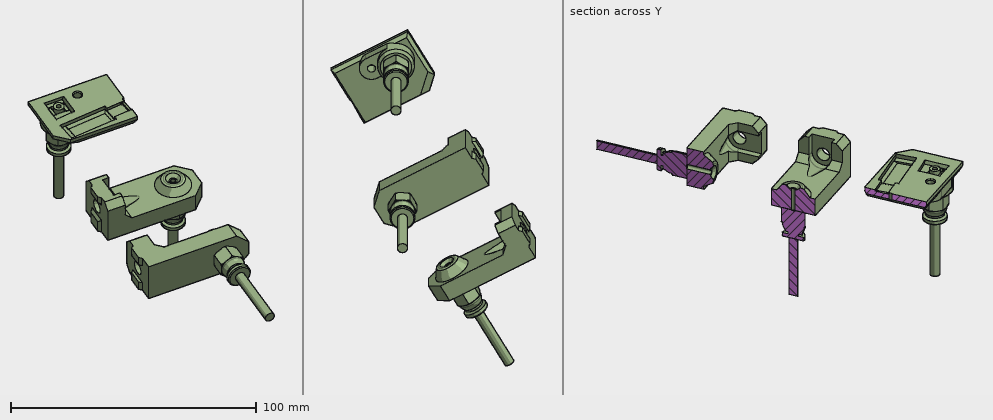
import cadquery as cq
import math

HEX_FLATS = 10.1
HEX_LENGTH = 6.8
HEX_END_BEVEL = 0.5
COLLAR_DIAMETER = 10.1
COLLAR_END = 7.7
SHOULDER_DIAMETER = 9.2
SHOULDER_Z = 9.0
SLEEVE_DIAMETER = 8.0
SLEEVE_START = 10.0
SLEEVE_END = 10.8
NECK_DIAMETER = 5.0
RING_DIAMETER = 10.1
RING_START = 11.5
RING_END = 13.5
RING_EDGE = 0.5
HOSE_DIAMETER = 4.1

BRACKET_LENGTH = 45.8
HEAD_DEPTH = 8.0
HEAD_CHAMFER = 2.8
GUSSET = 3.0
TIP_CHAMFER = 5.6
HOLE_DIAMETER = 5.8
RELIEF_DIAMETER = 10.1
RELIEF_START = 5.2
TAB_WIDTH = 8.6
TAB_HEIGHT = 1.2
SHORT_TAB = 4.1
LONG_TAB = 6.5

NOZZLE_Y = 34.8
NOZZLE_BASE_DIAMETER = 15.1
NOZZLE_SHOULDER_DIAMETER = 10.1
NOZZLE_RIM_DIAMETER = 8.0
NOZZLE_SHOULDER_DROP = 0.3
FUNNEL_DIAMETER = 6.2
FUNNEL_FLOOR_DIAMETER = 3.3
FUNNEL_DEPTH = 1.3
NOZZLE_BORE = 2.0

UPRIGHT_X = 59.9
UPRIGHT_Y = -0.1
UPRIGHT_WIDTH = 19.7
UPRIGHT_HEIGHT = 19.3
UPRIGHT_ARM = 8.0
UPRIGHT_HOLE_HEIGHT = 10.8
UPRIGHT_NOZZLE_HEIGHT = 3.5
UPRIGHT_RELIEF_LENGTH = 25.5

SIDEWAYS_BACK_X = 107.7
SIDEWAYS_Y = -0.7
SIDEWAYS_Z = -10.5
SIDEWAYS_WIDTH = 18.0
SIDEWAYS_HEIGHT = 19.9
SIDEWAYS_ARM = 7.7
SIDEWAYS_HOLE_HEIGHT = 10.0
SIDEWAYS_NOZZLE_HEIGHT = 4.3
SIDEWAYS_RELIEF_LENGTH = 21.2

BRACKET_HOSE_END = 40.5

PLATE_WIDTH = 27.9
PLATE_FRONT_Y = -1.2
PLATE_LENGTH = 35.9
PLATE_THICKNESS = 4.1
RIM_THICKNESS = 1.8
UNDERCUT = 1.2
CORNER_CHAMFER = 5.3
CORNER_UNDERCUT = 7.7

PORT_X = 8.0
PORT_Y = 8.7
BOSS_DIAMETER = 15.1
BOSS_BOTTOM_Z = -10.5
BOSS_CHAMFER = 1.2
LUG_X = 5.3
LUG_Y = 18.7
LUG_DIAMETER = 10.0
LUG_BOTTOM_Z = -6.8
LUG_HOLE_DIAMETER = 3.3
LUG_HOLE_MOUTH_DIAMETER = 4.1
PLATE_HOSE_END = 39.5

WINDOW_LEFT = 3.7
WINDOW_FRONT = 4.3
WINDOW_BACK = 13.2
WINDOW_FRONT_WIDTH = 10.8
WINDOW_BACK_WIDTH = 9.8
WINDOW_DRAFT = 0.7
WINDOW_DEPTH = 1.5
CHANNEL_WIDTH = 4.9
CHANNEL_DEPTH = 2.0
WELL_LENGTH = 4.6
WELL_DEPTH = 3.0
SPOUT_DIAMETER = 4.5
SPOUT_BORE = 2.0

RECESS_X = 21.8
RECESS_Y = 15.3
RECESS_TILT = 5
RECESS_WIDTH = 8.9
RECESS_LENGTH = 21.5
RECESS_DEPTH = 1.8
LEDGE_LENGTH = 2.7
TROUGH_DEPTH = 0.7
TROUGH_SIDE_SLOPE = 1.5
TROUGH_BACK_SLOPE = 0.9
SLOT_DEPTH = 1.3
SLOT_END = 18.1
SLOT_CORNER = 0.7
END_WALL = 1.0
END_WALL_DROP = 0.6


def box(x0, x1, y0, y1, z0, z1):
    return cq.Workplane("XY").box(x1 - x0, y1 - y0, z1 - z0, centered=False).translate((x0, y0, z0))


def rod(diameter, z0, z1):
    return cq.Workplane("XY").workplane(offset=z0).circle(diameter / 2).extrude(z1 - z0)


def turned(profile):
    """Solid of revolution about Z from (diameter, z) points; the outline closes along the axis."""
    points = [(0, profile[0][1])] + [(d / 2, z) for d, z in profile] + [(0, profile[-1][1])]
    return cq.Workplane("XZ").polyline(points).close().revolve(360, (0, 0, 0), (0, 1, 0))


def hex_nut():
    corners = HEX_FLATS / math.cos(math.pi / 6)
    beveled_round = turned([
        (corners - 2 * HEX_END_BEVEL, 0),
        (corners, HEX_END_BEVEL),
        (corners, HEX_LENGTH - HEX_END_BEVEL),
        (corners - 2 * HEX_END_BEVEL, HEX_LENGTH),
    ])
    return cq.Workplane("XY").polygon(6, corners).extrude(HEX_LENGTH).intersect(beveled_round)


def collar():
    """Round collar that curves in to the sleeve diameter."""
    profile = (
        cq.Workplane("XZ")
        .lineTo(COLLAR_DIAMETER / 2, 0)
        .lineTo(COLLAR_DIAMETER / 2, COLLAR_END)
        .threePointArc((SHOULDER_DIAMETER / 2, SHOULDER_Z), (SLEEVE_DIAMETER / 2, SLEEVE_START))
        .lineTo(0, SLEEVE_START)
        .close()
    )
    return profile.revolve(360, (0, 0, 0), (0, 1, 0))


def make_fitting():
    stem = turned([
        (SLEEVE_DIAMETER, SLEEVE_START),
        (SLEEVE_DIAMETER, SLEEVE_END),
        (NECK_DIAMETER, SLEEVE_END),
        (NECK_DIAMETER, RING_START),
        (RING_DIAMETER, RING_START),
        (RING_DIAMETER, RING_END - RING_EDGE),
        (RING_DIAMETER - 2 * RING_EDGE, RING_END),
    ])
    return hex_nut().union(collar()).union(stem)


def make_hose(end):
    return rod(HOSE_DIAMETER, RING_END, end)


def bracket_blank(width, height, arm):
    half = width / 2
    side = [
        (0, 0),
        (BRACKET_LENGTH, 0),
        (BRACKET_LENGTH, arm),
        (HEAD_DEPTH + GUSSET, arm),
        (HEAD_DEPTH, arm + GUSSET),
        (HEAD_DEPTH, height),
        (0, height),
    ]
    blank = cq.Workplane("YZ").polyline(side).close().extrude(half, both=True)
    blank = blank.edges("|Y and >Z").chamfer(HEAD_CHAMFER)
    return blank.edges("|Z and >Y").chamfer(TIP_CHAMFER)


def bolt_relief(height, hole_height, cone_length):
    """Bolt hole and the tapered clearance behind it, open towards the top of the head."""
    radius = RELIEF_DIAMETER / 2
    hole = cq.Workplane("XZ").circle(HOLE_DIAMETER / 2).extrude(-HEAD_DEPTH)
    counterbore = cq.Workplane("XZ").workplane(offset=-RELIEF_START).circle(radius)
    counterbore = counterbore.extrude(RELIEF_START - HEAD_DEPTH)
    opening = box(-radius, radius, RELIEF_START, HEAD_DEPTH, 0, height - hole_height)
    cone = cq.Workplane(cq.Solid.makeCone(
        radius, 0, cone_length, pnt=cq.Vector(0, HEAD_DEPTH, 0), dir=cq.Vector(0, 1, 0)))
    return hole.union(counterbore).union(opening).union(cone).translate((0, 0, hole_height))


def nozzle(arm, nozzle_height):
    outside = turned([
        (NOZZLE_BASE_DIAMETER, 0),
        (NOZZLE_SHOULDER_DIAMETER, nozzle_height - NOZZLE_SHOULDER_DROP),
        (NOZZLE_RIM_DIAMETER, nozzle_height),
    ])
    funnel = turned([
        (FUNNEL_FLOOR_DIAMETER, nozzle_height - FUNNEL_DEPTH),
        (FUNNEL_DIAMETER, nozzle_height),
    ])
    return outside.cut(funnel).translate((0, NOZZLE_Y, arm))


def tab(length, sloped_end=False):
    """Locating tab on the front face, from z = 0 up to z = length."""
    half = TAB_WIDTH / 2
    plan = [(-half, 0), (half, 0), (half - TAB_HEIGHT, -TAB_HEIGHT), (TAB_HEIGHT - half, -TAB_HEIGHT)]
    body = cq.Workplane("XY").polyline(plan).close().extrude(length)
    if sloped_end:
        side = [(0, 0), (0, length), (-TAB_HEIGHT, length - TAB_HEIGHT), (-TAB_HEIGHT, 0)]
        body = body.intersect(cq.Workplane("YZ").polyline(side).close().extrude(half, both=True))
    return body


def make_bracket(width, height, arm, hole_height, nozzle_height, relief_length):
    bracket = bracket_blank(width, height, arm).cut(bolt_relief(height, hole_height, relief_length))
    bracket = bracket.union(nozzle(arm, nozzle_height))
    bore = rod(NOZZLE_BORE, 0, arm + nozzle_height).translate((0, NOZZLE_Y, 0))
    return bracket.cut(bore)


def make_upright_bracket():
    bracket = make_bracket(
        UPRIGHT_WIDTH, UPRIGHT_HEIGHT, UPRIGHT_ARM, UPRIGHT_HOLE_HEIGHT,
        UPRIGHT_NOZZLE_HEIGHT, UPRIGHT_RELIEF_LENGTH)
    top_tab = tab(SHORT_TAB, sloped_end=True).rotate((0, 0, 0), (0, 1, 0), 180)
    bracket = bracket.union(tab(LONG_TAB, sloped_end=True))
    bracket = bracket.union(top_tab.translate((0, 0, UPRIGHT_HEIGHT)))
    return bracket.translate((UPRIGHT_X, UPRIGHT_Y, -UPRIGHT_HEIGHT))


def make_sideways_bracket():
    bracket = make_bracket(
        SIDEWAYS_WIDTH, SIDEWAYS_HEIGHT, SIDEWAYS_ARM, SIDEWAYS_HOLE_HEIGHT,
        SIDEWAYS_NOZZLE_HEIGHT, SIDEWAYS_RELIEF_LENGTH)
    for side in (-1, 1):
        side_tab = tab(SHORT_TAB).rotate((0, 0, 0), (0, 1, 0), -90 * side)
        bracket = bracket.union(side_tab.translate((side * SIDEWAYS_WIDTH / 2, 0, SIDEWAYS_HOLE_HEIGHT)))
    bracket = bracket.rotate((0, 0, 0), (0, 1, 0), -90)
    return bracket.translate((SIDEWAYS_BACK_X, SIDEWAYS_Y, SIDEWAYS_Z))


def cornered_outline(inset, corner):
    right = PLATE_WIDTH - inset
    front = PLATE_FRONT_Y + inset
    back = PLATE_FRONT_Y + PLATE_LENGTH - inset
    return [(inset, front), (right - corner, front), (right, front + corner), (right, back), (inset, back)]


def plate_blank():
    rim = cq.Workplane("XY").polyline(cornered_outline(0, CORNER_CHAMFER)).close().extrude(-RIM_THICKNESS)
    underside = (
        cq.Workplane("XY").workplane(offset=-RIM_THICKNESS)
        .polyline(cornered_outline(0, CORNER_CHAMFER)).close()
        .workplane(offset=RIM_THICKNESS - PLATE_THICKNESS)
        .polyline(cornered_outline(UNDERCUT, CORNER_UNDERCUT)).close()
        .loft(ruled=True)
    )
    return rim.union(underside)


def bosses():
    """Port boss, screw lug and the straight web that joins them along the left edge."""
    boss = rod(BOSS_DIAMETER, BOSS_BOTTOM_Z, -RIM_THICKNESS).faces("<Z").chamfer(BOSS_CHAMFER)
    lug = rod(LUG_DIAMETER, LUG_BOTTOM_Z, -RIM_THICKNESS)
    left = LUG_X - LUG_DIAMETER / 2
    web = box(left, left + LUG_DIAMETER, PORT_Y, LUG_Y, LUG_BOTTOM_Z, -RIM_THICKNESS)
    return boss.translate((PORT_X, PORT_Y, 0)).union(lug.translate((LUG_X, LUG_Y, 0))).union(web)


def port_window():
    """Drafted window with a channel across its floor and a well around the spout."""
    rim = [
        (WINDOW_LEFT, WINDOW_FRONT),
        (WINDOW_LEFT + WINDOW_FRONT_WIDTH, WINDOW_FRONT),
        (WINDOW_LEFT + WINDOW_BACK_WIDTH, WINDOW_BACK),
        (WINDOW_LEFT, WINDOW_BACK),
    ]
    window = cq.Workplane("XY").polyline(rim).close().extrude(-WINDOW_DEPTH)
    profile = [
        (WINDOW_FRONT, 0),
        (WINDOW_FRONT + WINDOW_DRAFT, -WINDOW_DEPTH),
        (WINDOW_BACK - WINDOW_DRAFT, -WINDOW_DEPTH),
        (WINDOW_BACK, 0),
    ]
    window = window.intersect(cq.Workplane("YZ").polyline(profile).close().extrude(PLATE_WIDTH))
    left = PORT_X - CHANNEL_WIDTH / 2
    right = PORT_X + CHANNEL_WIDTH / 2
    channel = box(left, right, WINDOW_FRONT + WINDOW_DRAFT, WINDOW_BACK - WINDOW_DRAFT, -CHANNEL_DEPTH, 0)
    well = box(left, right, PORT_Y - WELL_LENGTH / 2, PORT_Y + WELL_LENGTH / 2, -WELL_DEPTH, 0)
    spout = rod(SPOUT_DIAMETER, -PLATE_THICKNESS, 0).translate((PORT_X, PORT_Y, 0))
    return window.union(channel).union(well).cut(spout)


def tilted_recess():
    """Tilted recess with a sloped trough, and a slot that runs from it to a thin wall at the back."""
    half = RECESS_WIDTH / 2
    back = RECESS_LENGTH / 2
    ledge = LEDGE_LENGTH - back
    recess = box(-half, half, -back, back, -RECESS_DEPTH, 0)

    floor_half = half - TROUGH_SIDE_SLOPE
    trough = (
        cq.Workplane("XY").workplane(offset=-RECESS_DEPTH)
        .polyline([(-half, ledge), (half, ledge), (half, back), (-half, back)]).close()
        .workplane(offset=-TROUGH_DEPTH)
        .polyline([
            (-floor_half, ledge),
            (floor_half, ledge),
            (floor_half, back - TROUGH_BACK_SLOPE),
            (-floor_half, back - TROUGH_BACK_SLOPE),
        ]).close()
        .loft(ruled=True)
    )
    slot = box(-floor_half, floor_half, 0, SLOT_END, -SLOT_DEPTH, 0).edges("|Z and >Y").chamfer(SLOT_CORNER)
    wall_back = SLOT_END + END_WALL
    clearance = box(-half, half, wall_back, wall_back + half, -PLATE_THICKNESS, 0)
    over_wall = box(-floor_half, floor_half, SLOT_END - SLOT_CORNER, wall_back, -END_WALL_DROP, 0)
    cut = recess.union(trough).union(slot).union(over_wall).union(clearance)
    return cut.rotate((0, 0, 0), (0, 0, 1), RECESS_TILT).translate((RECESS_X, RECESS_Y, 0))


def make_plate():
    plate = plate_blank().union(bosses()).cut(port_window()).cut(tilted_recess())
    countersink_depth = (LUG_HOLE_MOUTH_DIAMETER - LUG_HOLE_DIAMETER) / 2
    lug_hole = turned([
        (LUG_HOLE_DIAMETER, LUG_BOTTOM_Z),
        (LUG_HOLE_DIAMETER, -countersink_depth),
        (LUG_HOLE_MOUTH_DIAMETER, 0),
    ])
    plate = plate.cut(lug_hole.translate((LUG_X, LUG_Y, 0)))
    return plate.cut(rod(SPOUT_BORE, BOSS_BOTTOM_Z, 0).translate((PORT_X, PORT_Y, 0)))


def on_plate(body):
    body = body.rotate((0, 0, 0), (0, 0, 1), 90).rotate((0, 0, 0), (1, 0, 0), 180)
    return body.translate((PORT_X, PORT_Y, BOSS_BOTTOM_Z))


def on_upright_bracket(body):
    body = body.rotate((0, 0, 0), (1, 0, 0), 180)
    return body.translate((UPRIGHT_X, UPRIGHT_Y + NOZZLE_Y, -UPRIGHT_HEIGHT))


def on_sideways_bracket(body):
    body = body.rotate((0, 0, 0), (0, 1, 0), 90)
    return body.translate((SIDEWAYS_BACK_X, SIDEWAYS_Y + NOZZLE_Y, SIDEWAYS_Z))


plate = make_plate()
upright_bracket = make_upright_bracket()
sideways_bracket = make_sideways_bracket()

fittings = []
hoses = []
for place, hose_end in (
    (on_plate, PLATE_HOSE_END),
    (on_upright_bracket, BRACKET_HOSE_END),
    (on_sideways_bracket, BRACKET_HOSE_END),
):
    fittings.append(place(make_fitting()))
    hoses.append(place(make_hose(hose_end)))

bodies = [plate, upright_bracket, sideways_bracket, *fittings, *hoses]
result = cq.Compound.makeCompound([body.val() for body in bodies])